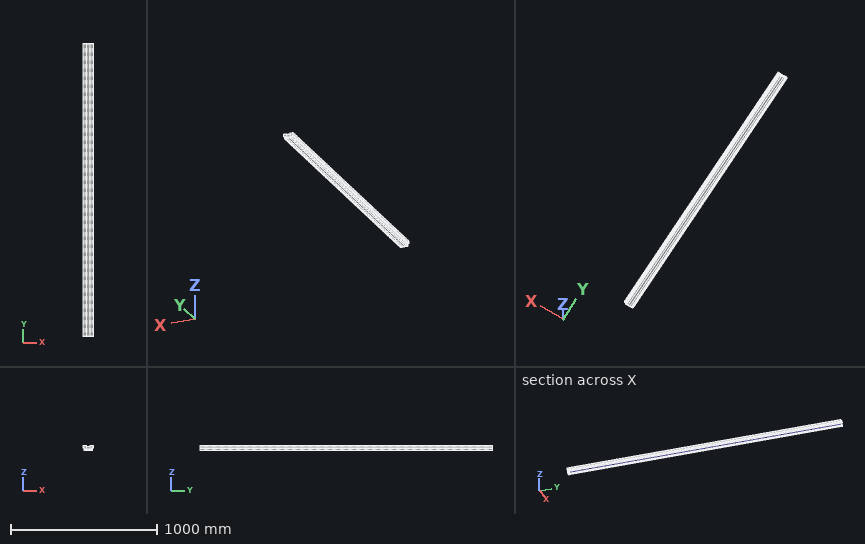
import cadquery as cq

length = 2000.0
height = 35.0

flange_width = 72.0
flange_underside = 19.0
body_width = 55.0
side_lip = 1.0
side_lip_bottom = 15.0

channel_width = 25.0
foot_width = 40.0
foot_top = 10.0
floor_thickness = 4.0

insert_top = 29.4
groove_width = 16.0
groove_top = 9.0


def bar(width, bottom, top):
    """A full-length bar centred on the YZ plane, between two heights."""
    return (
        cq.Workplane("XY")
        .workplane(offset=bottom)
        .rect(width, length)
        .extrude(top - bottom)
    )


def foot_slot_and_opening(top):
    """The inverted T that the channel and the insert share, up to the given height."""
    foot = bar(foot_width, floor_thickness, foot_top)
    neck = bar(channel_width, floor_thickness, top)
    return foot.union(neck)


def make_housing():
    lower_body = bar(body_width, 0, height)
    upper_body = bar(body_width + 2 * side_lip, side_lip_bottom, height)
    flanges = bar(flange_width, flange_underside, height)
    outside = lower_body.union(upper_body).union(flanges)
    return outside.cut(foot_slot_and_opening(height))


def make_insert():
    underside_groove = bar(groove_width, floor_thickness, groove_top)
    return foot_slot_and_opening(insert_top).cut(underside_groove)


housing = make_housing()
insert = make_insert()

result = cq.Compound.makeCompound([housing.val(), insert.val()])